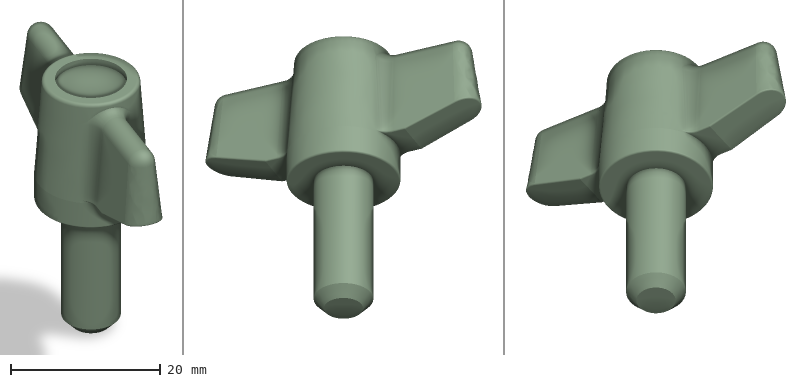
import cadquery as cq
import math

STUD_DIAMETER = 8.0
STUD_LENGTH = 20.0
STUD_TIP_HEIGHT = 1.5
STUD_TIP_DIAMETER = 5.25

COLLAR_DIAMETER = 15.25
COLLAR_HEIGHT = 4.0
COLLAR_EDGE_FILLET = 0.25
KNOB_HEIGHT = 19.0
HUB_TOP_DIAMETER = 13.15
HUB_RIM_FILLET = 0.5
RECESS_DIAMETER = 9.62
RECESS_DEPTH = 1.0

WING_SPAN = 39.98
WING_TOP_Z = 17.64
WING_TOP_RADIUS = 1.87
WING_SIDE_DRAFT = 5.0
WING_END_DRAFT = 8.7
WING_BOTTOM_Z = 4.15
WING_FLAT_HALF_LENGTH = 10.2
WING_TIP_Z = 7.5
WING_BOTTOM_FILLET = 0.2
HUB_BLEND_RADIUS = 2.4

TRIM_MARGIN = 4.0

side_slope = math.tan(math.radians(WING_SIDE_DRAFT))
end_slope = math.tan(math.radians(WING_END_DRAFT))
hub_slope = (COLLAR_DIAMETER - HUB_TOP_DIAMETER) / 2 / (KNOB_HEIGHT - COLLAR_HEIGHT)

round_axis_z = WING_TOP_Z - WING_TOP_RADIUS
shoulder_z = round_axis_z + WING_TOP_RADIUS * math.sin(math.radians(WING_SIDE_DRAFT))
shoulder_half_width = WING_TOP_RADIUS * math.cos(math.radians(WING_SIDE_DRAFT))

blade_base_z = WING_BOTTOM_Z - TRIM_MARGIN
seam_mid_z = (blade_base_z + shoulder_z) / 2


def blade_half_width(z):
    return shoulder_half_width + (shoulder_z - z) * side_slope


def blade_half_length(z):
    return WING_SPAN / 2 - (z - WING_TIP_Z) * end_slope


def hub_radius(z):
    return COLLAR_DIAMETER / 2 - (z - COLLAR_HEIGHT) * hub_slope


def make_cone(bottom_z, top_z):
    height = top_z - bottom_z
    return cq.Workplane(cq.Solid.makeCone(
        hub_radius(bottom_z), hub_radius(top_z), height, cq.Vector(0, 0, bottom_z)))


def make_blade():
    """Drafted round-ended blade through the hub, up to the shoulder of its top round."""
    return (
        cq.Workplane("XY", origin=(0, 0, blade_base_z))
        .slot2D(2 * blade_half_length(blade_base_z), 2 * blade_half_width(blade_base_z))
        .workplane(offset=shoulder_z - blade_base_z)
        .slot2D(2 * blade_half_length(shoulder_z), 2 * shoulder_half_width)
        .loft(ruled=True)
    )


def make_blended_blade():
    """Blade and a length of hub cone, with the four upright corners between them filleted."""
    body = make_cone(blade_base_z, shoulder_z).union(make_blade())
    seam_y = blade_half_width(seam_mid_z)
    seam_x = math.sqrt(hub_radius(seam_mid_z) ** 2 - seam_y ** 2)
    seams = []
    for x in (-seam_x, seam_x):
        for y in (-seam_y, seam_y):
            seam = body.edges(cq.selectors.NearestToPointSelector((x, y, seam_mid_z)))
            seams.append(seam.val())
    return body.newObject(seams).fillet(HUB_BLEND_RADIUS)


def make_top_round():
    """Rod with ball ends that flares into the hub, kept above the shoulder only."""
    ball_x = blade_half_length(shoulder_z) - shoulder_half_width
    blend_reach = hub_radius(shoulder_z) + HUB_BLEND_RADIUS
    flare_start_x = math.sqrt(blend_reach ** 2 - (shoulder_half_width + HUB_BLEND_RADIUS) ** 2)
    flare_end_x = flare_start_x * hub_radius(shoulder_z) / blend_reach
    flare_run = flare_start_x - flare_end_x
    flare_radius = WING_TOP_RADIUS + HUB_BLEND_RADIUS - math.sqrt(HUB_BLEND_RADIUS ** 2 - flare_run ** 2)
    rod = (
        cq.Workplane("XZ", origin=(0, 0, round_axis_z))
        .moveTo(-ball_x - WING_TOP_RADIUS, 0)
        .radiusArc((-ball_x, WING_TOP_RADIUS), WING_TOP_RADIUS)
        .lineTo(-flare_start_x, WING_TOP_RADIUS)
        .radiusArc((-flare_end_x, flare_radius), -HUB_BLEND_RADIUS)
        .lineTo(flare_end_x, flare_radius)
        .radiusArc((flare_start_x, WING_TOP_RADIUS), -HUB_BLEND_RADIUS)
        .lineTo(ball_x, WING_TOP_RADIUS)
        .radiusArc((ball_x + WING_TOP_RADIUS, 0), WING_TOP_RADIUS)
        .close()
        .revolve(360, (0, 0, 0), (1, 0, 0))
    )
    above_shoulder = (
        cq.Workplane("XY", origin=(0, 0, shoulder_z))
        .rect(WING_SPAN, COLLAR_DIAMETER)
        .extrude(KNOB_HEIGHT - shoulder_z)
    )
    return rod.intersect(above_shoulder)


def make_wings():
    """Both wings, trimmed to a flat underside that rises towards the tips."""
    tip_x = WING_SPAN / 2
    slab = (
        cq.Workplane("XZ")
        .moveTo(-WING_FLAT_HALF_LENGTH, WING_BOTTOM_Z)
        .lineTo(WING_FLAT_HALF_LENGTH, WING_BOTTOM_Z)
        .lineTo(tip_x, WING_TIP_Z)
        .lineTo(tip_x, KNOB_HEIGHT)
        .lineTo(-tip_x, KNOB_HEIGHT)
        .lineTo(-tip_x, WING_TIP_Z)
        .close()
        .extrude(COLLAR_DIAMETER, both=True)
    )
    blades = make_blended_blade().intersect(slab)
    underside = blades.faces().filter(lambda face: face.normalAt().z < -0.5)
    blades = underside.edges("not |Y").fillet(WING_BOTTOM_FILLET)
    return blades.union(make_top_round())


def make_hub():
    collar = (
        cq.Workplane("XY")
        .circle(COLLAR_DIAMETER / 2)
        .extrude(COLLAR_HEIGHT)
        .faces("<Z")
        .edges()
        .fillet(COLLAR_EDGE_FILLET)
    )
    body = make_cone(COLLAR_HEIGHT, KNOB_HEIGHT).faces(">Z").edges().fillet(HUB_RIM_FILLET)
    return collar.union(body)


def make_recess():
    return (
        cq.Workplane("XY", origin=(0, 0, KNOB_HEIGHT - RECESS_DEPTH))
        .circle(RECESS_DIAMETER / 2)
        .extrude(RECESS_DEPTH)
    )


def make_stud():
    """Plain stud with a conical lead-in, its root sunk into the collar."""
    return (
        cq.Workplane("XY", origin=(0, 0, COLLAR_HEIGHT))
        .circle(STUD_DIAMETER / 2)
        .extrude(-COLLAR_HEIGHT - STUD_LENGTH)
        .faces("<Z")
        .edges()
        .chamfer(STUD_TIP_HEIGHT, (STUD_DIAMETER - STUD_TIP_DIAMETER) / 2)
    )


result = make_hub().union(make_wings()).cut(make_recess()).union(make_stud())